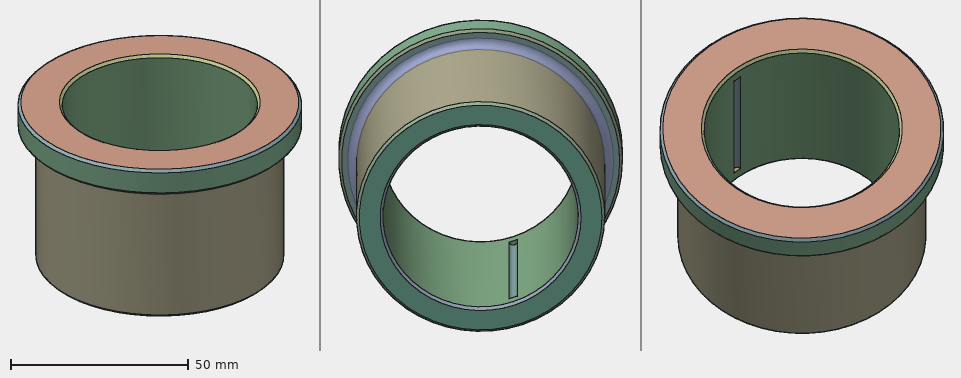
import cadquery as cq

flange_diameter = 80.0
body_diameter = 70.0
bore_diameter = 55.0
height = 50.0
flange_thickness = 8.0

groove_diameter = 2.5
groove_end_margin = 4.0

edge_chamfer = 0.8
neck_fillet = 2.5

body = cq.Workplane("XY").circle(body_diameter / 2).extrude(height)
flange = (
    cq.Workplane("XY")
    .workplane(offset=height - flange_thickness)
    .circle(flange_diameter / 2)
    .extrude(flange_thickness)
)
bushing = body.union(flange)

neck_edge = cq.selectors.RadiusNthSelector(0)
bushing = bushing.faces("<Z[1]").edges(neck_edge).fillet(neck_fillet)

bushing = bushing.cut(cq.Workplane("XY").circle(bore_diameter / 2).extrude(height))

bushing = bushing.faces("<Z or >Z").edges().chamfer(edge_chamfer)
flange_rim = cq.selectors.RadiusNthSelector(-1)
bushing = bushing.faces("<Z[1]").edges(flange_rim).chamfer(edge_chamfer)

groove = (
    cq.Workplane("XY")
    .workplane(offset=groove_end_margin)
    .center(bore_diameter / 2, 0)
    .circle(groove_diameter / 2)
    .extrude(height - 2 * groove_end_margin)
)
bushing = bushing.cut(groove)

result = bushing